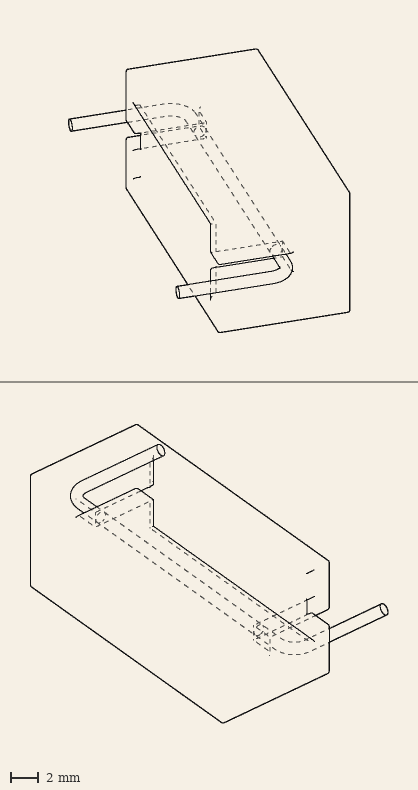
import cadquery as cq
import math

case_length = 22.0
case_depth = 10.0
case_height = 10.0
edge_radius = 0.2

rim_width = 2.0
recess_depth = 0.5
panel_radius = 0.1

slot_width = 1.3
slot_floor_y = 0.5

lead_diameter = 0.9
lead_pitch = 25.4
bend_radius = 1.5
lead_reach = 3.6

case_front = -case_depth / 2
panel_length = case_length - 2 * rim_width
panel_height = case_height - 2 * rim_width
panel_end = panel_length / 2
panel_y = case_front + recess_depth
lead_x = lead_pitch / 2
bend_start_x = lead_x - bend_radius
lead_tip_y = case_front - lead_reach


def block(length, height, front_y, back_y, centre_x=0):
    """Block centred in Z that runs from front_y to back_y."""
    depth = back_y - front_y
    return cq.Workplane("XY").box(length, depth, height).translate((centre_x, front_y + depth / 2, 0))


def rounded_end_cutter(side):
    """Corner sliver that rounds the panel over into the slot at one end; side is -1 or 1."""
    outer_x = side * panel_end
    inner_x = side * (panel_end - panel_radius)
    arc_offset = panel_radius * math.sqrt(0.5)
    arc_middle = (inner_x + side * arc_offset, panel_y + panel_radius - arc_offset)
    return (
        cq.Workplane("XY")
        .moveTo(outer_x, case_front)
        .lineTo(outer_x, panel_y + panel_radius)
        .threePointArc(arc_middle, (inner_x, panel_y))
        .lineTo(inner_x, case_front)
        .close()
        .extrude(slot_width / 2, both=True)
    )


def make_panel_fillet():
    """Frame that fills the recess corner with a concave round."""
    frame = block(panel_length, panel_height, panel_y - panel_radius, panel_y)
    opening = block(panel_length, panel_height, case_front, panel_y)
    return frame.cut(opening.faces(">Y").edges().fillet(panel_radius))


def make_case(lead):
    """Block with the panel recess, the end slots and a hole that fits the lead."""
    body = block(case_length, case_height, case_front, case_depth / 2)
    body = body.cut(block(panel_length, panel_height, case_front, panel_y))
    for side in (-1, 1):
        slot_x = side * (panel_end + rim_width / 2)
        body = body.cut(block(rim_width, slot_width, case_front, slot_floor_y, slot_x))
    body = body.faces("<X or >X or <Y or >Y or <Z or >Z").edges().fillet(edge_radius)
    body = body.union(make_panel_fillet())
    for side in (-1, 1):
        body = body.cut(rounded_end_cutter(side))
    return body.cut(lead)


def make_lead():
    """Round wire swept from one tip, through the case, to the other tip."""
    path = (
        cq.Workplane("XY")
        .moveTo(-lead_x, lead_tip_y)
        .lineTo(-lead_x, -bend_radius)
        .tangentArcPoint((-bend_start_x, 0), relative=False)
        .lineTo(bend_start_x, 0)
        .tangentArcPoint((lead_x, -bend_radius), relative=False)
        .lineTo(lead_x, lead_tip_y)
    )
    section = cq.Workplane("XZ", origin=(-lead_x, lead_tip_y, 0)).circle(lead_diameter / 2)
    return section.sweep(path)


lead = make_lead()
case = make_case(lead)
result = cq.Compound.makeCompound([case.solids().val(), lead.val()])